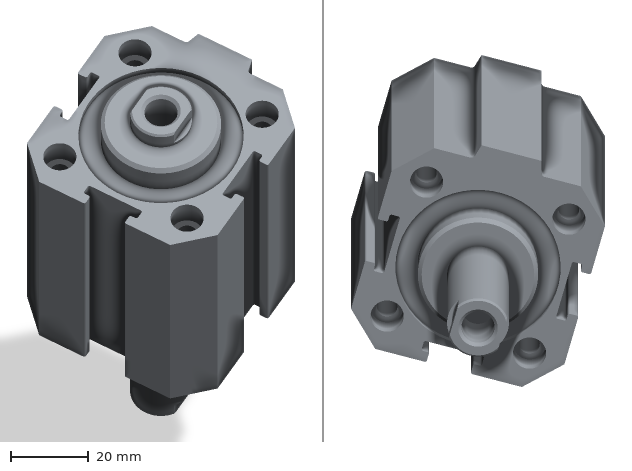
import cadquery as cq
import math

BODY_SIDE = 57.0
BODY_LENGTH = 68.5
CORNER_CUT = 8.9

TAB_WIDTH = 16.1
TAB_HEIGHT = 4.0
TAB_DRAFT = 15.0
TAB_FILLET = 1.0

SLOT_MOUTH = 11.8
SLOT_WIDTH = 16.1
SLOT_DEPTH = 5.5
SLOT_LIP = 2.8
SLOT_ROUND = 0.5

BOSS_DIAMETER = 31.0
BOSS_HEIGHT = 6.0
BOSS_CHAMFER = 1.0
RECESS_DIAMETER = 42.5
RECESS_DEPTH = 2.0

BOLT_SPACING = 38.0
BOLT_HOLE = 5.3
BOLT_COUNTERBORE = 8.5
COUNTERBORE_DEPTH = 7.0

ROD_DIAMETER = 16.0
ROD_TOP_REACH = 5.0
ROD_LENGTH = 125.5
ROD_CHAMFER = 0.5
ROD_FLATS = 13.0
FLAT_LENGTH = 4.0
ROD_HOLE = 8.5
ROD_HOLE_DEPTH = 15.0
ROD_HOLE_MOUTH = 10.2

HALF_SIDE = BODY_SIDE / 2
MID_HEIGHT = BODY_LENGTH / 2
ROD_TOP = BODY_LENGTH + BOSS_HEIGHT + ROD_TOP_REACH
ROD_BOTTOM = ROD_TOP - ROD_LENGTH


def cylinder(diameter, bottom, height):
    """Cylinder on the Z axis, standing on the height `bottom`."""
    return cq.Workplane("XY").workplane(offset=bottom).circle(diameter / 2).extrude(height)


def octagon_block():
    """Square block with its four upright corners cut off."""
    block = cq.Workplane("XY").rect(BODY_SIDE, BODY_SIDE).extrude(BODY_LENGTH)
    return block.edges("|Z").chamfer(CORNER_CUT)


def t_slot():
    """Cutter for the T-slot that runs the full height of the -Y side."""
    mouth_y = -HALF_SIDE
    mouth = cq.Workplane("XY").center(0, mouth_y + SLOT_DEPTH / 2)
    mouth = mouth.rect(SLOT_MOUTH, SLOT_DEPTH).extrude(BODY_LENGTH)
    chamber_depth = SLOT_DEPTH - SLOT_LIP
    chamber = cq.Workplane("XY").center(0, mouth_y + SLOT_LIP + chamber_depth / 2)
    chamber = chamber.rect(SLOT_WIDTH, chamber_depth).extrude(BODY_LENGTH)
    return mouth.union(chamber)


def slotted_block():
    """Block with rounded T-slots on the -X, -Y and +X sides."""
    block = octagon_block()
    for turn in (-90, 0, 90):
        block = block.cut(t_slot().rotate((0, 0, 0), (0, 0, 1), turn))
    reach = SLOT_WIDTH / 2 + SLOT_ROUND
    along_x = cq.selectors.BoxSelector((-BODY_SIDE, -reach, 0), (BODY_SIDE, reach, BODY_LENGTH))
    along_y = cq.selectors.BoxSelector((-reach, -BODY_SIDE, 0), (reach, BODY_SIDE, BODY_LENGTH))
    return block.edges("|Z").edges(along_x + along_y).fillet(SLOT_ROUND)


def add_tab(block):
    """Rail with leaning sides on the +Y side, filleted where it meets the block."""
    crest = TAB_WIDTH / 2
    foot = crest + TAB_HEIGHT * math.tan(math.radians(TAB_DRAFT))
    tab = (
        cq.Workplane("XY")
        .moveTo(-foot, HALF_SIDE)
        .lineTo(-crest, HALF_SIDE + TAB_HEIGHT)
        .lineTo(crest, HALF_SIDE + TAB_HEIGHT)
        .lineTo(foot, HALF_SIDE)
        .close()
        .extrude(BODY_LENGTH)
    )
    block = block.union(tab)
    for side in (-1, 1):
        foot_edge = cq.selectors.NearestToPointSelector((side * foot, HALF_SIDE, MID_HEIGHT))
        block = block.edges("|Z").edges(foot_edge).fillet(TAB_FILLET)
    return block


def bolt_holes():
    """Cutters for the four through holes, counterbored at both ends."""
    cutters = cq.Workplane("XY").rect(BOLT_SPACING, BOLT_SPACING, forConstruction=True)
    cutters = cutters.vertices().circle(BOLT_HOLE / 2).extrude(BODY_LENGTH)
    for bottom in (0, BODY_LENGTH - COUNTERBORE_DEPTH):
        corners = cq.Workplane("XY").workplane(offset=bottom)
        corners = corners.rect(BOLT_SPACING, BOLT_SPACING, forConstruction=True).vertices()
        cutters = cutters.union(corners.circle(BOLT_COUNTERBORE / 2).extrude(COUNTERBORE_DEPTH))
    return cutters


def make_housing():
    """Body with rail, slots, bolt holes and a boss in a recess at each end."""
    housing = add_tab(slotted_block()).cut(bolt_holes())
    for bottom in (0, BODY_LENGTH - RECESS_DEPTH):
        housing = housing.cut(cylinder(RECESS_DIAMETER, bottom, RECESS_DEPTH))
    bosses = cylinder(BOSS_DIAMETER, -BOSS_HEIGHT, BODY_LENGTH + 2 * BOSS_HEIGHT)
    bosses = bosses.faces("<Z or >Z").chamfer(BOSS_CHAMFER)
    return housing.union(bosses).cut(cylinder(ROD_DIAMETER, ROD_BOTTOM, ROD_LENGTH))


def rod_end_hole():
    """Cutter for the countersunk blind hole in the upper end of the rod."""
    hole = cylinder(ROD_HOLE, ROD_TOP - ROD_HOLE_DEPTH, ROD_HOLE_DEPTH)
    sink_depth = (ROD_HOLE_MOUTH - ROD_HOLE) / 2
    sink_base = (0, 0, ROD_TOP - sink_depth)
    sink = cq.Solid.makeCone(ROD_HOLE / 2, ROD_HOLE_MOUTH / 2, sink_depth, pnt=sink_base)
    return hole.union(cq.Workplane(sink))


def rod_end_flats():
    """Cutter that leaves two wrench flats, facing -X and +X, on the upper end of the rod."""
    ring = cq.Workplane("XY").workplane(offset=ROD_TOP - FLAT_LENGTH)
    ring = ring.rect(2 * ROD_DIAMETER, 2 * ROD_DIAMETER).rect(ROD_FLATS, 2 * ROD_DIAMETER)
    return ring.extrude(FLAT_LENGTH)


def make_rod():
    """Double-ended rod with alike ends: chamfer, wrench flats and a blind hole."""
    rod = cylinder(ROD_DIAMETER, ROD_BOTTOM, ROD_LENGTH)
    rod = rod.faces("<Z or >Z").chamfer(ROD_CHAMFER)
    rod_middle = (ROD_TOP + ROD_BOTTOM) / 2
    for cutter in (rod_end_flats(), rod_end_hole()):
        rod = rod.cut(cutter)
        rod = rod.cut(cutter.mirror("XY", (0, 0, rod_middle)))
    return rod


housing = make_housing()
rod = make_rod()
result = cq.Compound.makeCompound([housing.val(), rod.val()])